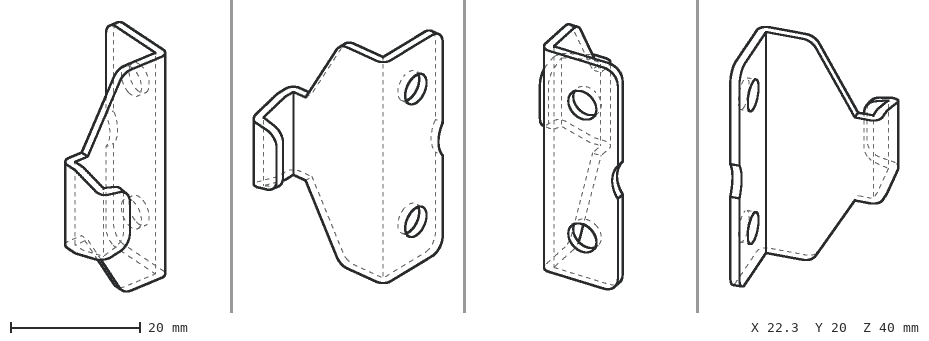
import cadquery as cq
import math

height = 40.0
depth = 20.0
width = 22.3
thickness = 1.5
corner_radius = 2.5
bend_radius = thickness

plate_width = 13.8
hole_diameter = 5.0
hole_x = 6.3
hole_spacing = 24.0
notch_depth = 1.0
notch_half_height = 2.95

hook_height = 15.05
web_slope_end_y = 4.0
web_slope_angle = 60.6

lip_depth = 5.5
lip_tip_height = 10.0
taper_start_x = 15.75
taper_angle = 15.0


def make_bent_strip():
    """Sheet section bent in plan, without the lip, with rounded outer and sharp inner corners."""
    web_inner_x = plate_width - thickness
    return (
        cq.Workplane("XY")
        .moveTo(0, depth)
        .lineTo(plate_width - bend_radius, depth)
        .radiusArc((plate_width, depth - bend_radius), bend_radius)
        .lineTo(plate_width, thickness)
        .lineTo(width, thickness)
        .radiusArc((width - bend_radius, 0), bend_radius)
        .lineTo(web_inner_x + bend_radius, 0)
        .radiusArc((web_inner_x, bend_radius), bend_radius)
        .lineTo(web_inner_x, depth - thickness)
        .lineTo(0, depth - thickness)
        .close()
        .extrude(height / 2, both=True)
    )


def make_side_outline():
    """Envelope along X that trims the web down to the hook height."""
    half_height = height / 2
    half_hook = hook_height / 2
    slope_run = (half_height - half_hook) / math.tan(math.radians(web_slope_angle))
    shoulder_y = web_slope_end_y + slope_run
    envelope = (
        cq.Workplane("YZ")
        .polyline([
            (0, -half_hook),
            (web_slope_end_y, -half_hook),
            (shoulder_y, -half_height),
            (depth, -half_height),
            (depth, half_height),
            (shoulder_y, half_height),
            (web_slope_end_y, half_hook),
            (0, half_hook),
        ])
        .close()
        .extrude(width)
    )
    for side in (-1, 1):
        edge = cq.selectors.NearestToPointSelector((width / 2, shoulder_y, side * half_height))
        envelope = envelope.edges("|X").edges(edge).fillet(corner_radius)
    return envelope


def hook_half_height(x):
    """Half height of the tapered front leg at position x."""
    return hook_height / 2 - (x - taper_start_x) * math.tan(math.radians(taper_angle))


def make_front_outline():
    """Envelope along Y: rounded plate corners and the tapered hook."""
    half_hook = hook_height / 2
    end_half = hook_half_height(width)
    plate = (
        cq.Workplane("XY")
        .box(plate_width, depth, height, centered=(False, False, True))
        .edges("|Y and <X")
        .fillet(corner_radius)
    )
    hook = (
        cq.Workplane("XZ")
        .polyline([
            (plate_width - thickness, -half_hook),
            (taper_start_x, -half_hook),
            (width, -end_half),
            (width, end_half),
            (taper_start_x, half_hook),
            (plate_width - thickness, half_hook),
        ])
        .close()
        .extrude(-depth)
    )
    return plate.union(hook)


def lip_profile(root_half_height):
    """Points of the lip side, narrowing from its root to its tip, in (y, z)."""
    tip_half = lip_tip_height / 2
    return [
        (thickness, -root_half_height),
        (lip_depth, -tip_half),
        (lip_depth, tip_half),
        (thickness, root_half_height),
    ]


def make_lip():
    """Free lip: ruled sides blend the sloped leg end into a level tip with rounded corners."""
    lip_inner_x = width - thickness
    lip = (
        cq.Workplane("YZ", origin=(lip_inner_x, 0, 0))
        .polyline(lip_profile(hook_half_height(lip_inner_x)))
        .close()
        .workplane(offset=thickness)
        .polyline(lip_profile(hook_half_height(width)))
        .close()
        .loft(ruled=True)
    )
    return lip.faces(">Y").edges("<Z or >Z").fillet(corner_radius)


def make_plate_cutouts():
    """Two mounting holes and the shallow round notch in the free edge."""
    notch_radius = (notch_half_height**2 + notch_depth**2) / (2 * notch_depth)
    holes = (
        cq.Workplane("XZ")
        .pushPoints([(hole_x, -hole_spacing / 2), (hole_x, hole_spacing / 2)])
        .circle(hole_diameter / 2)
        .extrude(-depth)
    )
    notch = (
        cq.Workplane("XZ")
        .center(notch_depth - notch_radius, 0)
        .circle(notch_radius)
        .extrude(-depth)
    )
    plate_zone = (
        cq.Workplane("XY")
        .box(plate_width, thickness, height, centered=(False, False, True))
        .translate((0, depth - thickness, 0))
    )
    return holes.union(notch).intersect(plate_zone)


result = (
    make_bent_strip()
    .intersect(make_side_outline())
    .intersect(make_front_outline())
    .cut(make_plate_cutouts())
    .union(make_lip())
)